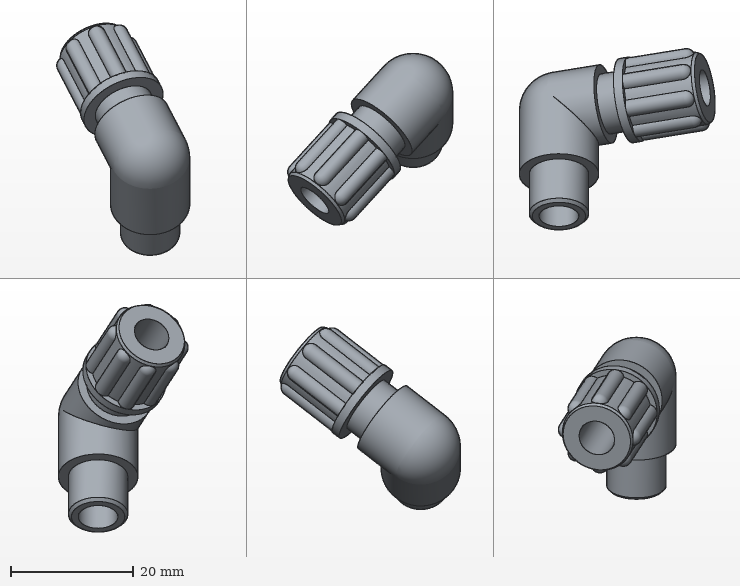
import cadquery as cq


total_length = 31.5
body_radius = 13.0 / 2
inlet_reach = total_length - body_radius
collar_length = 8.0
barrel_length = 12.0

spigot_radius = 9.73 / 2
spigot_end = 20.0
spigot_chamfer = 0.5

nut_length = 13.48
nut_radius = 11.97 / 2
nut_chamfer_length = 0.5
nut_chamfer_depth = 0.28
flange_radius = 14.0 / 2
flange_length = 1.5
neck_radius = 10.0 / 2

rib_count = 8
rib_radius = 1.42
rib_tip_gap = 0.5

nut_bore_radius = 6.0 / 2
tube_seat_radius = 4.0 / 2
tube_seat_depth = 1.0
inlet_bore_radius = 3.4 / 2
outlet_bore_radius = 6.5 / 2


def x_cylinder(start, length, radius):
    return cq.Workplane("YZ", origin=(start, 0, 0)).circle(radius).extrude(length)


def down_cylinder(start, length, radius):
    return cq.Workplane("XY", origin=(0, 0, start)).circle(radius).extrude(-length)


nut_face = -inlet_reach
nut_back = nut_face + nut_length
flange_start = nut_back - flange_length

body = x_cylinder(-collar_length, collar_length, body_radius)
body = body.union(down_cylinder(0, barrel_length, body_radius))
body = body.union(cq.Workplane("XY").sphere(body_radius))

spigot = down_cylinder(0, spigot_end, spigot_radius).faces("<Z").chamfer(spigot_chamfer)
neck = x_cylinder(nut_back, -nut_back, neck_radius)

nut = x_cylinder(nut_face, nut_length, nut_radius)
nut = nut.faces("<X").chamfer(nut_chamfer_length, nut_chamfer_depth)
nut = nut.union(x_cylinder(flange_start, flange_length, flange_radius))


def grip_rib():
    """Half-round rib along the nut with a spherical front tip."""
    tip_centre = nut_face + rib_tip_gap + rib_radius
    rib = x_cylinder(tip_centre, nut_back - flange_length / 2 - tip_centre, rib_radius)
    tip = cq.Workplane("XY", origin=(tip_centre, 0, 0)).sphere(rib_radius)
    return rib.union(tip).translate((0, 0, flange_radius - rib_radius))


for index in range(rib_count):
    angle = index * 360 / rib_count
    nut = nut.union(grip_rib().rotate((0, 0, 0), (1, 0, 0), angle))

result = body.union(spigot).union(neck).union(nut)

result = result.cut(x_cylinder(nut_face, nut_length, nut_bore_radius))
result = result.cut(x_cylinder(nut_back, tube_seat_depth, tube_seat_radius))
result = result.cut(x_cylinder(nut_back, -nut_back, inlet_bore_radius))
result = result.cut(down_cylinder(inlet_bore_radius, spigot_end + inlet_bore_radius, outlet_bore_radius))